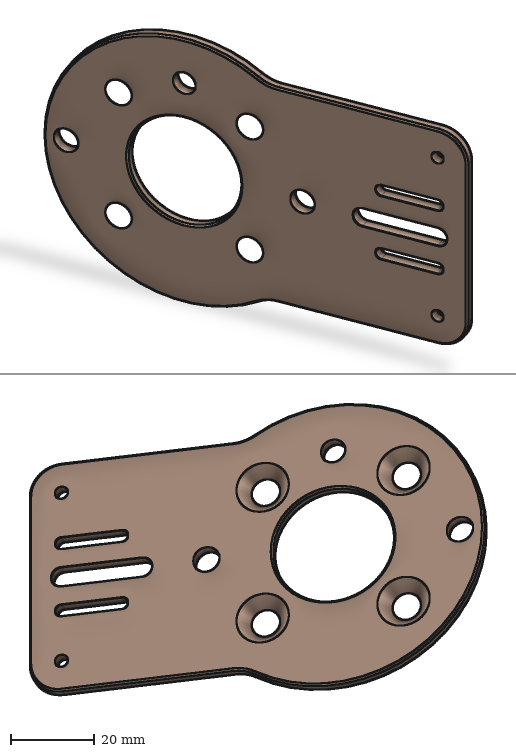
import cadquery as cq
import math

thickness = 3.0
rear_y = thickness / 2
edge_chamfer = 0.5
flange_radius = 37.5
tongue_end_x = 75.5
tongue_half_height = 30.5
corner_radius = 8.0
blend_radius = 10.0

bore_diameter = 30.0

square_hole_diameter = 7.0
square_hole_offset = 17.5
countersink_angle = 45.0
side_hole_diameter = 6.5
side_hole_offset = 31.5
top_hole_diameter = 6.0
top_hole_offset = 25.0

end_hole_diameter = 3.2
end_hole_x = 67.5
end_hole_offset = 22.5
edge_break = 0.1
edge_break_angle = 45.0
slot_end_center_x = end_hole_x
center_slot_width = 5.0
center_slot_travel = 20.0
side_slot_width = 3.0
side_slot_travel = 15.0
side_slot_offset = 9.0


def plane_at(y):
    """Work plane parallel to XZ; a positive extrusion runs toward -Y."""
    return cq.Workplane("XZ", origin=(0, y, 0))


def make_plate():
    """Plate body, with its outline symmetric about Z = 0."""
    blend_center_z = tongue_half_height + blend_radius
    center_distance = flange_radius + blend_radius
    blend_center_x = math.sqrt(center_distance**2 - blend_center_z**2)
    touch_x = blend_center_x * flange_radius / center_distance
    touch_z = blend_center_z * flange_radius / center_distance

    flange_direction = math.atan2(-blend_center_z, -blend_center_x)
    tongue_direction = -math.pi / 2
    mid_direction = (flange_direction + tongue_direction) / 2
    mid_x = blend_center_x + blend_radius * math.cos(mid_direction)
    mid_z = blend_center_z + blend_radius * math.sin(mid_direction)

    outline = (
        plane_at(rear_y)
        .moveTo(touch_x, -touch_z)
        .threePointArc((-flange_radius, 0), (touch_x, touch_z))
        .threePointArc((mid_x, mid_z), (blend_center_x, tongue_half_height))
        .lineTo(tongue_end_x - corner_radius, tongue_half_height)
        .radiusArc((tongue_end_x, tongue_half_height - corner_radius), corner_radius)
        .lineTo(tongue_end_x, corner_radius - tongue_half_height)
        .radiusArc((tongue_end_x - corner_radius, -tongue_half_height), corner_radius)
        .lineTo(blend_center_x, -tongue_half_height)
        .threePointArc((mid_x, -mid_z), (touch_x, -touch_z))
        .close()
    )
    return outline.extrude(thickness)


def cut_holes(plate, diameter, centers):
    """Plain round through holes."""
    cutter = plane_at(rear_y).pushPoints(centers).circle(diameter / 2).extrude(thickness)
    return plate.cut(cutter)


def cut_countersunk_holes(plate, centers):
    """Conical holes that widen from the front face (-Y) to the rear face (+Y)."""
    flare = thickness * math.tan(math.radians(countersink_angle))
    rear_radius = square_hole_diameter / 2 + flare
    cutter = (
        plane_at(rear_y)
        .pushPoints(centers)
        .circle(rear_radius)
        .extrude(thickness, taper=countersink_angle)
    )
    return plate.cut(cutter)


def cut_slot(plate, travel, width, center_z):
    """Round-ended slot along X, with its rim broken on both faces.

    travel is the distance between the end centres.
    """

    def slot_outline(y, slot_width):
        center_x = slot_end_center_x - travel / 2
        return plane_at(y).center(center_x, center_z).slot2D(travel + slot_width, slot_width)

    rim_width = width + 2 * edge_break * math.tan(math.radians(edge_break_angle))
    front_y = rear_y - thickness
    passage = slot_outline(rear_y, width).extrude(thickness)
    rear_rim = slot_outline(rear_y, rim_width).extrude(edge_break, taper=edge_break_angle)
    front_rim = slot_outline(front_y, rim_width).extrude(-edge_break, taper=edge_break_angle)
    return plate.cut(passage).cut(rear_rim).cut(front_rim)


result = cut_holes(make_plate(), bore_diameter, [(0, 0)])
result = result.faces("<Y or >Y").edges().chamfer(edge_chamfer)

square_centers = [
    (x_sign * square_hole_offset, z_sign * square_hole_offset)
    for x_sign in (-1, 1)
    for z_sign in (-1, 1)
]
result = cut_countersunk_holes(result, square_centers)
result = cut_holes(result, side_hole_diameter, [(-side_hole_offset, 0), (side_hole_offset, 0)])
result = cut_holes(result, top_hole_diameter, [(0, top_hole_offset)])

result = cut_slot(result, center_slot_travel, center_slot_width, 0)
for side in (-1, 1):
    result = cut_slot(result, side_slot_travel, side_slot_width, side * side_slot_offset)
    result = cut_holes(result, end_hole_diameter, [(end_hole_x, side * end_hole_offset)])